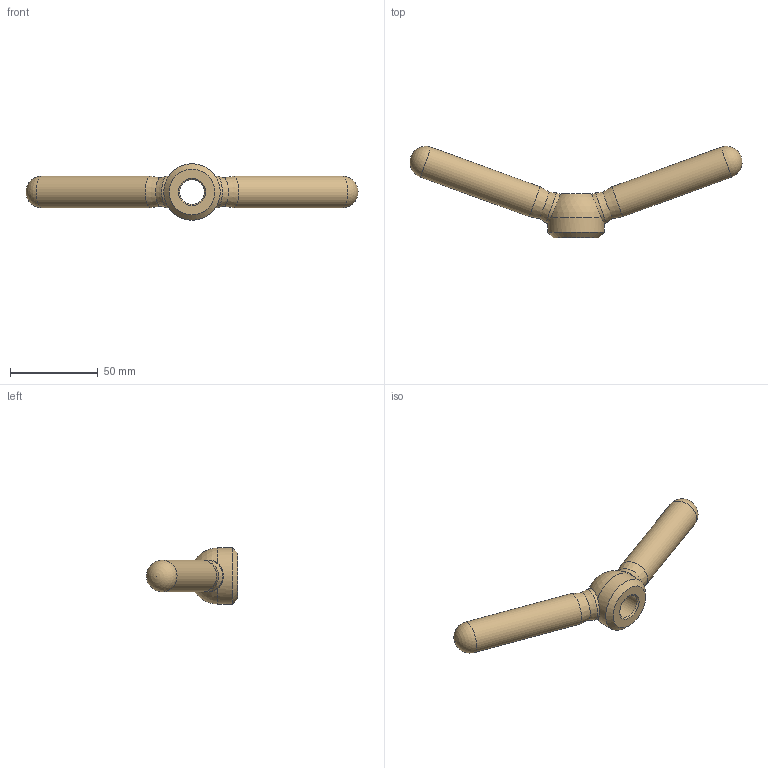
import cadquery as cq
import math

full_turn = 360.0

hub_radius = 16.0
hub_height = 25.0
hub_chamfer = 3.0
dome_start = 11.3
dome_flat_radius = math.sqrt(hub_radius**2 - (hub_height - dome_start) ** 2)

bore_radius = 7.0
bore_chamfer = 0.8

overall_span = 188.87
arm_angle = 20.0
arm_radius = 9.0
arm_root_height = 11.83
arm_tip_center = (overall_span / 2 - arm_radius) / math.cos(math.radians(arm_angle))
arm_length = arm_tip_center + arm_radius

waist_inner = 15.0
waist_middle = 19.0
waist_outer = 25.0
waist_radius = 8.0


def make_hub():
    """Chamfered cylinder with a spherical dome cut flat at the top."""
    dome_mid_angle = math.asin((hub_height - dome_start) / hub_radius) / 2
    dome_mid = (
        hub_radius * math.cos(dome_mid_angle),
        dome_start + hub_radius * math.sin(dome_mid_angle),
    )
    profile = (
        cq.Workplane("XY")
        .lineTo(hub_radius - hub_chamfer, 0)
        .lineTo(hub_radius, hub_chamfer)
        .lineTo(hub_radius, dome_start)
        .threePointArc(dome_mid, (dome_flat_radius, hub_height))
        .lineTo(0, hub_height)
        .close()
    )
    return profile.revolve(full_turn, (0, 0, 0), (0, 1, 0))


def make_arm():
    """Round-ended bar with a double-cone waist, pointing along +X and tilted up."""
    tip_mid_offset = arm_radius * math.cos(math.radians(45))
    profile = (
        cq.Workplane("XY")
        .lineTo(0, arm_radius)
        .lineTo(waist_inner, arm_radius)
        .lineTo(waist_middle, waist_radius)
        .lineTo(waist_outer, arm_radius)
        .lineTo(arm_tip_center, arm_radius)
        .threePointArc((arm_tip_center + tip_mid_offset, tip_mid_offset), (arm_length, 0))
        .close()
    )
    bar = profile.revolve(full_turn, (0, 0, 0), (1, 0, 0))
    tilted = bar.rotate((0, 0, 0), (0, 0, 1), arm_angle)
    return tilted.translate((0, arm_root_height, 0))


def make_bore():
    """Cutting tool for the through bore and its chamfer at the base."""
    profile = (
        cq.Workplane("XY")
        .lineTo(bore_radius + bore_chamfer, 0)
        .lineTo(bore_radius, bore_chamfer)
        .lineTo(bore_radius, hub_height)
        .lineTo(0, hub_height)
        .close()
    )
    return profile.revolve(full_turn, (0, 0, 0), (0, 1, 0))


right_arm = make_arm()
left_arm = right_arm.mirror("YZ")
result = make_hub().union(right_arm).union(left_arm).cut(make_bore())